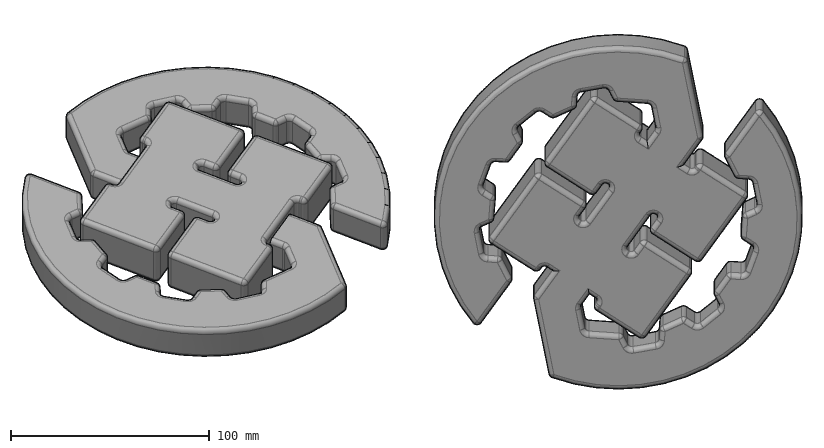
import cadquery as cq
import math

OUTER_RADIUS = 92.5
RING_HEIGHT = 20.0
BLOCK_HEIGHT = 25.0
EDGE_RADIUS = 2.5
RING_CORNER_RADIUS = 2.4
BLOCK_CORNER_RADIUS = 1.8

GAP_DISTANCE = 25.0
ARM_WIDTH = 22.4
ARM_INNER_END = 27.7
ARM_TOP = 50.0
TIP_DISTANCE = 62.3
ROOT_DISTANCE = 69.9
ROOT_WIDTH = 15.2
ROOT_DRAFT = 15.0
TOOTH_PITCH = 30.0
FIRST_SPACE_ANGLE = 0.0
TOOTH_SPACES = 4

BLOCK_SIDE = 95.0
RECESS_WIDTH = 33.3
RECESS_DEPTH = 5.4
SLOT_WIDTH = 4.0
SLOT_LENGTH = 24.0
SLIT_WIDTH = 4.8

DIAGONAL_ANGLE = 45.0
HALF_TURN = 180.0
POCKET_TOP = ARM_TOP - ARM_WIDTH


def turned(along, across, angle):
    """Point measured along a direction from the centre and to the left of that direction."""
    a = math.radians(angle)
    return (along * math.cos(a) - across * math.sin(a), along * math.sin(a) + across * math.cos(a))


def turned_about_z(solid, angle):
    return solid.rotate((0, 0, 0), (0, 0, 1), angle)


def turn_at(corners, i):
    """Positive where an anticlockwise outline turns left (outward corner), negative where inward."""
    before = corners[i - 1]
    here = corners[i]
    after = corners[(i + 1) % len(corners)]
    return ((here[0] - before[0]) * (after[1] - here[1])
            - (here[1] - before[1]) * (after[0] - here[0]))


def upright_edge(prism, corner, height):
    middle = (corner[0], corner[1], height / 2)
    return prism.edges("|Z").edges(cq.NearestToPointSelector(middle))


def round_edges(prism, corners, height, corner_radius):
    """Round the inward corners of an anticlockwise prism, then all its other edges."""
    for i, corner in enumerate(corners):
        if turn_at(corners, i) < 0:
            prism = upright_edge(prism, corner, height).fillet(corner_radius)
    edges = prism.faces("<Z or >Z").edges().vals()
    for i, corner in enumerate(corners):
        if turn_at(corners, i) > 0:
            edges += upright_edge(prism, corner, height).vals()
    return prism.newObject(edges).fillet(EDGE_RADIUS)


def toothed_edge():
    """Inner edge of a ring half, from the pocket clockwise to the ring end."""
    half_root = ROOT_WIDTH / 2
    draft = math.radians(ROOT_DRAFT)
    first = math.radians(FIRST_SPACE_ANGLE + TOOTH_PITCH / 2)
    points = [((TIP_DISTANCE - POCKET_TOP * math.sin(first)) / math.cos(first), POCKET_TOP)]
    half_pitch = math.radians(TOOTH_PITCH / 2)
    flank_reach = ROOT_DISTANCE * math.tan(draft) + half_root
    tip_along = ((TIP_DISTANCE - flank_reach * math.sin(half_pitch))
                 / (math.cos(half_pitch) - math.tan(draft) * math.sin(half_pitch)))
    tip_across = flank_reach - tip_along * math.tan(draft)
    for i in range(TOOTH_SPACES):
        angle = FIRST_SPACE_ANGLE - i * TOOTH_PITCH
        points += [
            turned(tip_along, tip_across, angle),
            turned(ROOT_DISTANCE, half_root, angle),
            turned(ROOT_DISTANCE, -half_root, angle),
            turned(tip_along, -tip_across, angle),
        ]
    last_tooth_angle = FIRST_SPACE_ANGLE + TOOTH_PITCH / 2 - TOOTH_SPACES * TOOTH_PITCH
    offset = math.radians(DIAGONAL_ANGLE - last_tooth_angle)
    along = (TIP_DISTANCE - GAP_DISTANCE * math.sin(offset)) / math.cos(offset)
    points.append(turned(along, -GAP_DISTANCE, DIAGONAL_ANGLE))
    return points


def ring_half():
    """Lower right half of the ring, with the arm that joins it to the block."""
    half_arm = ARM_WIDTH / 2
    rise = half_arm * math.sqrt(2)
    ring_end = turned(-math.sqrt(OUTER_RADIUS**2 - GAP_DISTANCE**2), -GAP_DISTANCE, DIAGONAL_ANGLE)
    flat_end = (math.sqrt(OUTER_RADIUS**2 - ARM_TOP**2), ARM_TOP)
    corners = [
        ring_end,
        flat_end,
        (ARM_TOP - rise, ARM_TOP),
        turned(ARM_INNER_END, half_arm, DIAGONAL_ANGLE),
        turned(ARM_INNER_END, -half_arm, DIAGONAL_ANGLE),
        (POCKET_TOP + rise, POCKET_TOP),
    ] + toothed_edge()
    arc_middle = turned(OUTER_RADIUS, 0, -DIAGONAL_ANGLE)
    outline = cq.Workplane("XY").moveTo(*flat_end).threePointArc(arc_middle, ring_end)
    for corner in reversed(corners[2:]):
        outline = outline.lineTo(*corner)
    return round_edges(outline.close().extrude(RING_HEIGHT), corners, RING_HEIGHT, RING_CORNER_RADIUS)


def block():
    """Square block with a recess on two sides and a T-slot in the other two."""
    half_side = BLOCK_SIDE / 2
    half_recess = RECESS_WIDTH / 2
    recess_floor = half_side - RECESS_DEPTH
    slot_inner = half_recess - SLOT_WIDTH
    half_slot = SLOT_LENGTH / 2
    half_slit = SLIT_WIDTH / 2
    half_outline = [
        (half_side, -half_side),
        (half_side, -half_recess),
        (recess_floor, -half_recess),
        (recess_floor, half_recess),
        (half_side, half_recess),
        (half_side, half_side),
        (half_slit, half_side),
        (half_slit, half_recess),
        (half_slot, half_recess),
        (half_slot, slot_inner),
        (-half_slot, slot_inner),
        (-half_slot, half_recess),
        (-half_slit, half_recess),
        (-half_slit, half_side),
    ]
    corners = half_outline + [(-x, -y) for x, y in half_outline]
    prism = cq.Workplane("XY").polyline(corners).close().extrude(BLOCK_HEIGHT)
    rounded = round_edges(prism, corners, BLOCK_HEIGHT, BLOCK_CORNER_RADIUS)
    return turned_about_z(rounded, DIAGONAL_ANGLE)


half = ring_half()
result = block().union(half).union(turned_about_z(half, HALF_TURN))